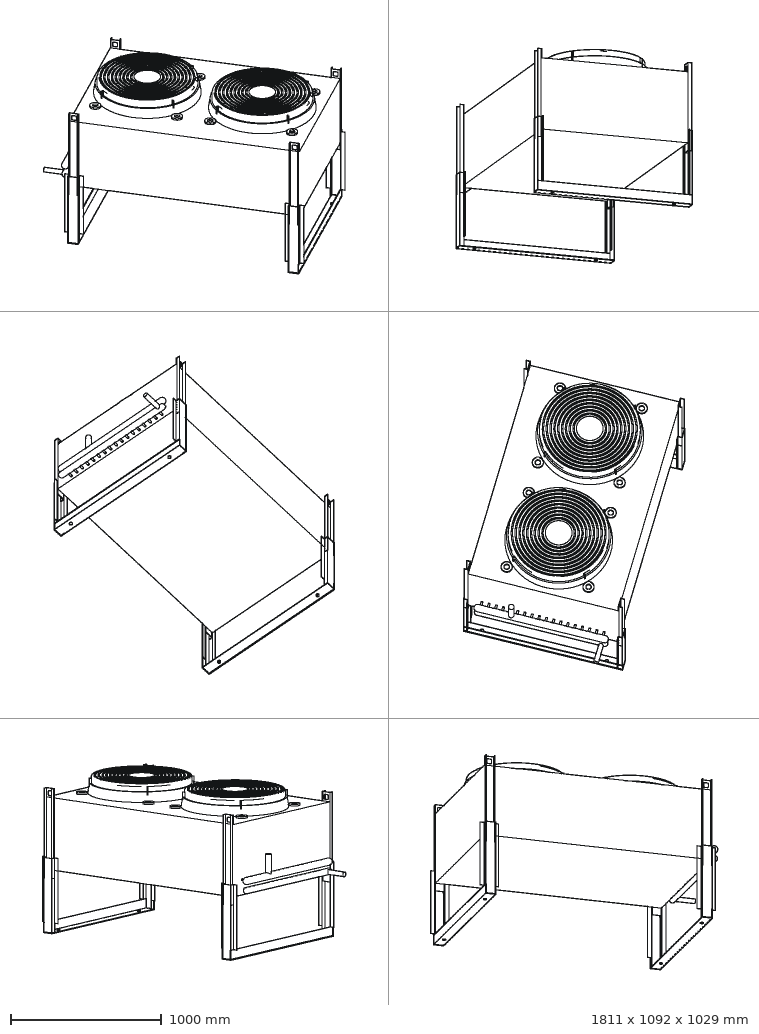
import cadquery as cq
import math

CASING_LENGTH = 1580.0
CASING_DEPTH = 1029.0
CASING_BOTTOM = 422.0
CASING_TOP = 911.0

FRAME_DEPTH = 1092.0
SHEET = 4.0
POST_WIDTH = 65.0
POST_BOTTOM = 370.0
POST_TOP = 975.0
LIFTING_HOLE_SIZE = 33.0
LIFTING_HOLE_CORNER = 7.0
LIFTING_HOLE_DROP = 35.0
LEG_TOP = 507.0
LEG_FLANGE_SPAN = 129.0
BEAM_HEIGHT = 67.0
BEAM_THICKNESS = 5.0
FLOOR_HOLE_DIAMETER = 22.0
FLOOR_HOLE_INSET = 118.0

LEG_WIDTH = POST_WIDTH + 2 * SHEET
FACE_Y = CASING_DEPTH / 2
LEG_FACE_Y = FRAME_DEPTH / 2
POST_FACE_Y = LEG_FACE_Y - SHEET
POST_X = (CASING_LENGTH - POST_WIDTH) / 2

COWL_X = CASING_LENGTH / 4
COWL_BASE_RADIUS = 357.0
COWL_LEDGE_RADIUS = 346.0
COWL_RIM_RADIUS = 335.0
COWL_LEDGE_Z = 980.0
COWL_TOP = 1029.0
COWL_RIM_FILLET = 15.0
GRILLE_RADIUS = 315.0
GROOVE_PITCH = 25.0
GROOVE_WIDTH = 9.0
GROOVE_DEPTH = 9.0
GROOVE_COUNT = 9
HUB_RADIUS = 89.0
HUB_DEPTH = 2.0
RIB_RADIUS = 350.0
RIB_WIDTH = 7.0
RIB_BOTTOM = 960.0
RIB_TOP = COWL_TOP - COWL_RIM_FILLET
FOOT_OFFSET = 280.0
FOOT_DIAMETER = 75.0
FOOT_HOLE_DIAMETER = 36.0
FOOT_HEIGHT = 10.0
DIAGONALS = (45, 135, 225, 315)

HEADER_X = -840.0
HEADER_STRAIGHT = 873.0
UPPER_HEADER_Z = 525.0
UPPER_HEADER_RADIUS = 24.5
LOWER_HEADER_Z = 460.0
LOWER_HEADER_RADIUS = 22.0
INLET_RADIUS = 19.0
INLET_Y = 205.0
INLET_TOP = 672.0
OUTLET_RADIUS = 16.0
OUTLET_Y = -417.0
OUTLET_END_X = CASING_LENGTH / 2 + (LEG_FLANGE_SPAN - POST_WIDTH) / 2 - 1811
STUB_RADIUS = 6.3
STUB_SPAN = 839.0
UPPER_STUB_COUNT = 18
STUB_PITCH = STUB_SPAN / (UPPER_STUB_COUNT - 1)


def block(x_range, y_range, z_range):
    """Box between two limits on each axis."""
    size = [abs(high - low) for low, high in (x_range, y_range, z_range)]
    return cq.Workplane("XY").box(*size, centered=False).translate(
        (min(x_range), min(y_range), min(z_range))
    )


def cylinder(start, direction, length, radius):
    """Round bar from a start point along a direction."""
    return cq.Workplane(obj=cq.Solid.makeCylinder(radius, length, cq.Vector(*start), cq.Vector(*direction)))


def at_corner(body, x_side, y_side):
    """Place a body made for the +X, +Y corner at another corner."""
    if x_side < 0:
        body = body.mirror("YZ")
    if y_side < 0:
        body = body.mirror("XZ")
    return body


def make_post():
    """U-channel on the casing face, open outward, with a lifting hole in its web."""
    half = POST_WIDTH / 2
    outer = block((POST_X - half, POST_X + half), (FACE_Y, POST_FACE_Y), (POST_BOTTOM, POST_TOP))
    channel = block(
        (POST_X - half + SHEET, POST_X + half - SHEET),
        (FACE_Y + SHEET, POST_FACE_Y),
        (POST_BOTTOM, POST_TOP),
    )
    half_hole = LIFTING_HOLE_SIZE / 2
    hole_z = POST_TOP - LIFTING_HOLE_DROP
    hole = block(
        (POST_X - half_hole, POST_X + half_hole),
        (FACE_Y, FACE_Y + SHEET),
        (hole_z - half_hole, hole_z + half_hole),
    )
    hole = hole.edges("|Y").fillet(LIFTING_HOLE_CORNER)
    return outer.cut(channel).cut(hole)


def make_leg():
    """Hat-section leg around the lower end of a post, notched for the upright wall of the beam."""
    half = LEG_WIDTH / 2
    flange_half = LEG_FLANGE_SPAN / 2
    outer = block((POST_X - half, POST_X + half), (FACE_Y, LEG_FACE_Y), (BEAM_THICKNESS, LEG_TOP))
    flanges = block(
        (POST_X - flange_half, POST_X + flange_half), (FACE_Y, FACE_Y + SHEET), (BEAM_HEIGHT, LEG_TOP)
    )
    channel = block(
        (POST_X - half + SHEET, POST_X + half - SHEET),
        (FACE_Y, LEG_FACE_Y - SHEET),
        (BEAM_THICKNESS, LEG_TOP),
    )
    notch = block(
        (POST_X + half - BEAM_THICKNESS, POST_X + half), (FACE_Y, LEG_FACE_Y), (BEAM_THICKNESS, BEAM_HEIGHT)
    )
    return outer.union(flanges).cut(channel).cut(notch)


def make_beam():
    """L-section floor beam: a bottom plate under two legs and an upright wall on its outer edge."""
    inner_x = POST_X - LEG_WIDTH / 2
    outer_x = POST_X + LEG_WIDTH / 2
    y_range = (-LEG_FACE_Y, LEG_FACE_Y)
    beam = block((inner_x, outer_x), y_range, (0, BEAM_THICKNESS))
    beam = beam.union(block((outer_x - BEAM_THICKNESS, outer_x), y_range, (0, BEAM_HEIGHT)))
    hole_y = LEG_FACE_Y - FLOOR_HOLE_INSET
    for y in (-hole_y, hole_y):
        beam = beam.cut(cylinder((POST_X, y, 0), (0, 0, 1), BEAM_THICKNESS, FLOOR_HOLE_DIAMETER / 2))
    return beam


def make_grille_cutter():
    """Evenly pitched ring grooves in the top of the cowl and a shallow round recess for the hub."""
    cutter = cylinder((0, 0, COWL_TOP - HUB_DEPTH), (0, 0, 1), HUB_DEPTH, HUB_RADIUS)
    groove_start = (0, 0, COWL_TOP - GROOVE_DEPTH)
    for index in range(GROOVE_COUNT):
        outer_radius = GRILLE_RADIUS - index * GROOVE_PITCH
        disc = cylinder(groove_start, (0, 0, 1), GROOVE_DEPTH, outer_radius)
        core = cylinder(groove_start, (0, 0, 1), GROOVE_DEPTH, outer_radius - GROOVE_WIDTH)
        cutter = cutter.add(disc.cut(core))
    return cutter.combine()


def make_fan_cowl():
    """Conical skirt, rounded rim, grooved grille, four edge ribs and four mounting feet."""
    skirt = (
        cq.Workplane("XY", origin=(0, 0, CASING_TOP))
        .circle(COWL_BASE_RADIUS)
        .workplane(offset=COWL_LEDGE_Z - CASING_TOP)
        .circle(COWL_LEDGE_RADIUS)
        .loft(ruled=True)
    )
    rim = cylinder((0, 0, CASING_TOP), (0, 0, 1), COWL_TOP - CASING_TOP, COWL_RIM_RADIUS)
    cowl = skirt.union(rim.faces(">Z").edges().fillet(COWL_RIM_FILLET)).cut(make_grille_cutter())
    rib = block((GRILLE_RADIUS, RIB_RADIUS), (-RIB_WIDTH / 2, RIB_WIDTH / 2), (RIB_BOTTOM, RIB_TOP))
    foot_radius = FOOT_OFFSET * math.sqrt(2)
    for angle in DIAGONALS:
        x = foot_radius * math.cos(math.radians(angle))
        y = foot_radius * math.sin(math.radians(angle))
        foot = cylinder((x, y, CASING_TOP), (0, 0, 1), FOOT_HEIGHT, FOOT_DIAMETER / 2)
        hole = cylinder((x, y, CASING_TOP), (0, 0, 1), FOOT_HEIGHT, FOOT_HOLE_DIAMETER / 2)
        cowl = cowl.union(foot.cut(hole)).union(rib.rotate((0, 0, 0), (0, 0, 1), angle))
    return cowl


def make_header(z, radius, stub_count):
    """Horizontal pipe with domed ends and a row of tube stubs that enter the casing."""
    half = HEADER_STRAIGHT / 2
    header = cylinder((HEADER_X, -half, z), (0, 1, 0), HEADER_STRAIGHT, radius)
    for y in (-half, half):
        header = header.union(cq.Workplane("XY", origin=(HEADER_X, y, z)).sphere(radius))
    stub_length = -CASING_LENGTH / 2 - HEADER_X
    for index in range(stub_count):
        y = (index - (stub_count - 1) / 2) * STUB_PITCH
        header = header.union(cylinder((HEADER_X, y, z), (1, 0, 0), stub_length, STUB_RADIUS))
    return header


def make_unit():
    """Casing with its cowls, corner posts and headers."""
    half_length = CASING_LENGTH / 2
    unit = block((-half_length, half_length), (-FACE_Y, FACE_Y), (CASING_BOTTOM, CASING_TOP))
    cowl = make_fan_cowl()
    post = make_post()
    for x_side in (-1, 1):
        unit = unit.union(cowl.translate((x_side * COWL_X, 0, 0)))
        for y_side in (-1, 1):
            unit = unit.union(at_corner(post, x_side, y_side))

    upper_header = make_header(UPPER_HEADER_Z, UPPER_HEADER_RADIUS, UPPER_STUB_COUNT)
    inlet_length = INLET_TOP - UPPER_HEADER_Z
    inlet = cylinder((HEADER_X, INLET_Y, UPPER_HEADER_Z), (0, 0, 1), inlet_length, INLET_RADIUS)
    lower_header = make_header(LOWER_HEADER_Z, LOWER_HEADER_RADIUS, UPPER_STUB_COUNT - 1)
    outlet_length = HEADER_X - OUTLET_END_X
    outlet = cylinder((OUTLET_END_X, OUTLET_Y, LOWER_HEADER_Z), (1, 0, 0), outlet_length, OUTLET_RADIUS)
    return unit.union(upper_header.union(inlet)).union(lower_header.union(outlet))


unit = make_unit()

leg_pattern = make_leg()
legs = [at_corner(leg_pattern, x_side, y_side) for x_side in (-1, 1) for y_side in (-1, 1)]

beam_pattern = make_beam()
beams = [at_corner(beam_pattern, x_side, 1) for x_side in (-1, 1)]

result = cq.Compound.makeCompound([unit.val(), *[leg.val() for leg in legs], *[beam.val() for beam in beams]])